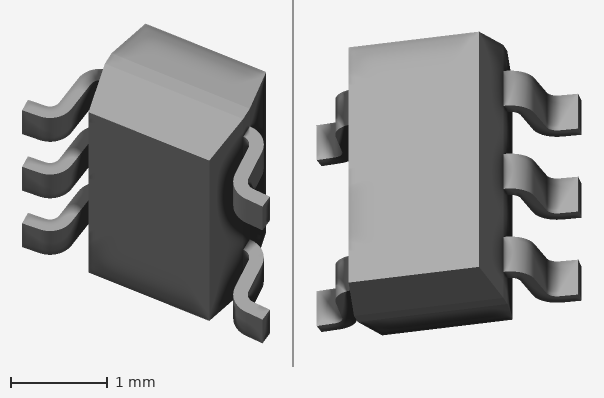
import cadquery as cq
import math

package_height = 2.9
package_width = 1.6
package_depth = 1.3
draft_angle = 10.0

lead_thickness = 0.15
lead_width = 0.4
lead_pitch = 0.95
overall_width = 2.8
overall_depth = 1.45
inner_radius = 0.113
leg_angle = 85.0
foot_angle = 3.5

taper_depth = (package_depth - lead_thickness) / 2
outer_radius = inner_radius + lead_thickness
mean_radius = inner_radius + lead_thickness / 2
exit_x = package_width / 2
lead_reach = (overall_width - package_width) / 2
lead_drop = overall_depth - package_depth / 2


def normal(angle):
    """Unit vector square to a strip sloping down by the angle, on its upper side."""
    turn = math.radians(angle)
    return cq.Vector(math.sin(turn), math.cos(turn))


def along(angle):
    """Unit vector running outward along a strip sloping down by the angle."""
    turn = math.radians(angle)
    return cq.Vector(math.cos(turn), -math.sin(turn))


def straight_lengths():
    """Leg and foot lengths that give the required lead reach and drop."""
    bends = normal(0) * -mean_radius + normal(leg_angle) * (2 * mean_radius)
    bends = bends - normal(foot_angle) * mean_radius
    half_strip = normal(foot_angle) * (lead_thickness / 2)
    reach_left = lead_reach - bends.x - half_strip.x
    drop_left = lead_drop + bends.y - half_strip.y
    leg = along(leg_angle)
    foot = along(foot_angle)
    determinant = leg.x * foot.y - leg.y * foot.x
    leg_length = (reach_left * foot.y + drop_left * foot.x) / determinant
    foot_length = (-leg.x * drop_left - leg.y * reach_left) / determinant
    return leg_length, foot_length


def make_package():
    belt = cq.Workplane("XZ").rect(package_width, package_height).extrude(lead_thickness / 2, both=True)
    front = belt.faces("<Y").wires().toPending().workplane().extrude(taper_depth, taper=draft_angle)
    return front.faces(">Y").wires().toPending().workplane().extrude(taper_depth, taper=draft_angle)


def make_lead(z_center):
    """One lead on the +X side, extruded along Z from its bent outline."""
    leg_length, foot_length = straight_lengths()
    upper_center = cq.Vector(exit_x, -mean_radius)
    lower_center = upper_center + normal(leg_angle) * (2 * mean_radius) + along(leg_angle) * leg_length
    upper_middle = leg_angle / 2
    lower_middle = (leg_angle + foot_angle) / 2

    def upper(radius, angle):
        return (upper_center + normal(angle) * radius).toTuple()[:2]

    def lower(radius, angle):
        return (lower_center - normal(angle) * radius).toTuple()[:2]

    def tip(radius):
        corner = lower_center - normal(foot_angle) * radius + along(foot_angle) * foot_length
        return corner.toTuple()[:2]

    outline = (
        cq.Workplane("XY", origin=(0, 0, z_center))
        .moveTo(*upper(outer_radius, 0))
        .threePointArc(upper(outer_radius, upper_middle), upper(outer_radius, leg_angle))
        .lineTo(*lower(inner_radius, leg_angle))
        .threePointArc(lower(inner_radius, lower_middle), lower(inner_radius, foot_angle))
        .lineTo(*tip(inner_radius))
        .lineTo(*tip(outer_radius))
        .lineTo(*lower(outer_radius, foot_angle))
        .threePointArc(lower(outer_radius, lower_middle), lower(outer_radius, leg_angle))
        .lineTo(*upper(inner_radius, leg_angle))
        .threePointArc(upper(inner_radius, upper_middle), upper(inner_radius, 0))
        .close()
    )
    return outline.extrude(lead_width / 2, both=True)


package = make_package()

leads = []
for row in (-1, 1):
    leads.append(make_lead(row * lead_pitch).val())
for row in (-1, 0, 1):
    leads.append(make_lead(row * lead_pitch).mirror("YZ").val())

result = cq.Compound.makeCompound([package.val(), *leads])